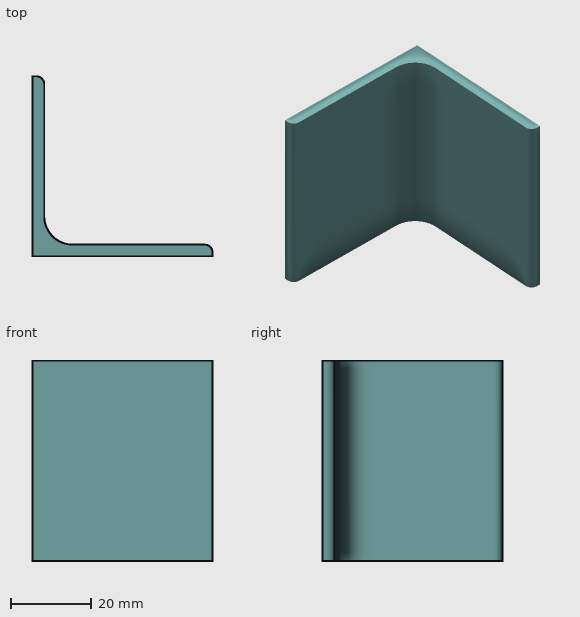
import cadquery as cq

leg_length = 45.0
leg_thickness = 3.0
height = 50.0
root_radius = 7.0
toe_radius = 2.0

section = (
    cq.Workplane("XY")
    .moveTo(0, 0)
    .lineTo(leg_length, 0)
    .lineTo(leg_length, leg_thickness)
    .lineTo(leg_thickness, leg_thickness)
    .lineTo(leg_thickness, leg_length)
    .lineTo(0, leg_length)
    .close()
)
angle = section.extrude(height)


def round_upright_edge(body, x, y, radius):
    """Round the vertical edge that passes through (x, y)."""
    edge = cq.selectors.NearestToPointSelector((x, y, height / 2))
    return body.edges("|Z").edges(edge).fillet(radius)


angle = round_upright_edge(angle, leg_thickness, leg_thickness, root_radius)
angle = round_upright_edge(angle, leg_length, leg_thickness, toe_radius)
angle = round_upright_edge(angle, leg_thickness, leg_length, toe_radius)

result = angle